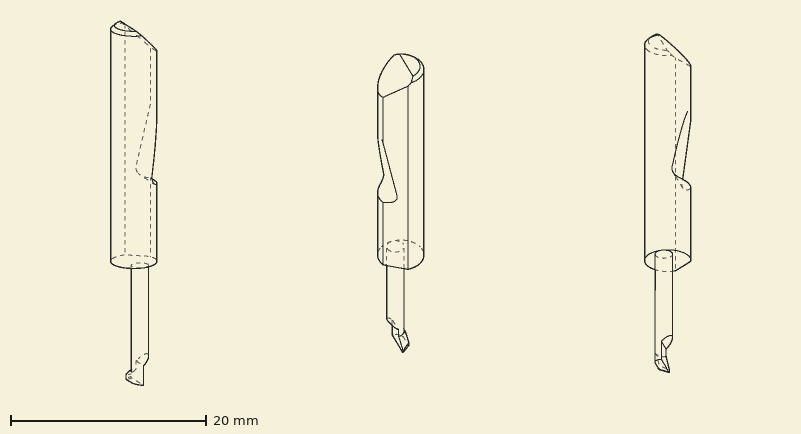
import cadquery as cq
import math

total_length = 38.1
shank_length = 25.4
shank_bottom = total_length - shank_length

shank_diameter = 4.76
shank_radius = shank_diameter / 2
top_chamfer = 0.4
bevel_angle = 45.0
bevel_edge_y = -0.6
flat_distance = 1.98
flat_direction = 142.8

notch_angle = 10.0
notch_top = 29.8
notch_length = 8.7
notch_corner_radius = 1.0

neck_radius = 0.9
neck_x = shank_radius - neck_radius
rake_plane_y = 0.0
rake_runout_top = 3.05

head_top = 1.35
upper_slope = 0.76
tip_x = -0.66
tip_upper_z = 0.38
tip_corner = 0.12
heel_x = 0.0
heel_upper_z = 0.66
end_relief_slope = 0.02
heel_lift = 0.13
heel_y = rake_plane_y - neck_radius

margin = 1.0


def make_shank():
    shank = (
        cq.Workplane("XY").workplane(offset=shank_bottom)
        .circle(shank_radius).extrude(shank_length)
        .faces(">Z").chamfer(top_chamfer)
    )
    return shank.cut(side_flat_tool()).cut(bevel_tool()).cut(notch_tool())


def side_flat_tool():
    return (
        cq.Workplane("XY")
        .box(shank_diameter, 2 * shank_diameter, shank_length, centered=(False, True, False))
        .translate((flat_distance, 0, shank_bottom))
        .rotate((0, 0, 0), (0, 0, 1), flat_direction)
    )


def extrude_across_shank(profile):
    """Extrude a closed YZ profile through the whole width of the shank."""
    return profile.extrude(shank_radius + margin, both=True)


def bevel_tool():
    bevel_run = shank_radius + margin - bevel_edge_y
    bevel_drop = bevel_run * math.tan(math.radians(bevel_angle))
    return extrude_across_shank(
        cq.Workplane("YZ").moveTo(bevel_edge_y, total_length)
        .lineTo(shank_radius + margin, total_length - bevel_drop)
        .lineTo(shank_radius + margin, total_length).close()
    )


def notch_tool():
    tilt = math.radians(notch_angle)
    ramp_length = notch_length * math.cos(tilt)
    wall_length = notch_length * math.sin(tilt)
    outline = (
        cq.Workplane("YZ").moveTo(0, ramp_length + margin)
        .lineTo(0, notch_corner_radius)
        .radiusArc((notch_corner_radius, 0), -notch_corner_radius)
        .lineTo(wall_length + margin, 0)
        .lineTo(wall_length + margin, ramp_length + margin).close()
    )
    corner_y = shank_radius - ramp_length * math.sin(tilt)
    corner_z = notch_top - ramp_length * math.cos(tilt)
    return (
        extrude_across_shank(outline)
        .rotate((0, 0, 0), (1, 0, 0), -notch_angle)
        .translate((0, corner_y, corner_z))
    )


def make_neck():
    neck = cq.Workplane("XY").center(neck_x, 0).circle(neck_radius).extrude(shank_bottom)
    return neck.cut(rake_tool()).cut(end_relief_tool())


def rake_tool():
    """Remove the +Y half of the neck end, running out at 45 degrees."""
    outer_y = rake_plane_y + neck_radius + margin
    return extrude_across_shank(
        cq.Workplane("YZ").moveTo(rake_plane_y, -margin)
        .lineTo(rake_plane_y, rake_runout_top - neck_radius)
        .lineTo(outer_y, rake_runout_top + margin)
        .lineTo(outer_y, -margin).close()
    )


def end_face_z(x, lift):
    """Height of the sloped end face at x, lift above its rake edge."""
    return end_relief_slope * (x - tip_x - tip_corner) + lift


def loft_rake_to_heel(rake_outline, heel_outline):
    """Join an XZ outline on the rake plane to one on the heel plane by flat faces."""
    return (
        cq.Workplane("XZ", origin=(0, rake_plane_y, 0)).polyline(rake_outline).close()
        .workplane(offset=rake_plane_y - heel_y).polyline(heel_outline).close()
        .loft(ruled=True, combine=True)
    )


def end_relief_outline(lift):
    left_x = neck_x - neck_radius - margin
    right_x = neck_x + neck_radius + margin
    return [
        (left_x, -margin),
        (right_x, -margin),
        (right_x, end_face_z(right_x, lift)),
        (left_x, end_face_z(left_x, lift)),
    ]


def end_relief_tool():
    return loft_rake_to_heel(end_relief_outline(0), end_relief_outline(heel_lift))


def head_outline(left_x, upper_z, lift):
    """Outline of the head, from its cutting side at left_x to the neck axis."""
    slope_end_x = left_x + (head_top - upper_z) / upper_slope
    corner_x = left_x + tip_corner
    corner_z = end_face_z(corner_x, lift)
    return [
        (left_x, upper_z),
        (slope_end_x, head_top),
        (neck_x, head_top),
        (neck_x, end_face_z(neck_x, lift)),
        (corner_x, corner_z),
        (left_x, corner_z + tip_corner),
    ]


def make_head():
    return loft_rake_to_heel(
        head_outline(tip_x, tip_upper_z, 0),
        head_outline(heel_x, heel_upper_z, heel_lift),
    )


result = make_shank().union(make_neck()).union(make_head())